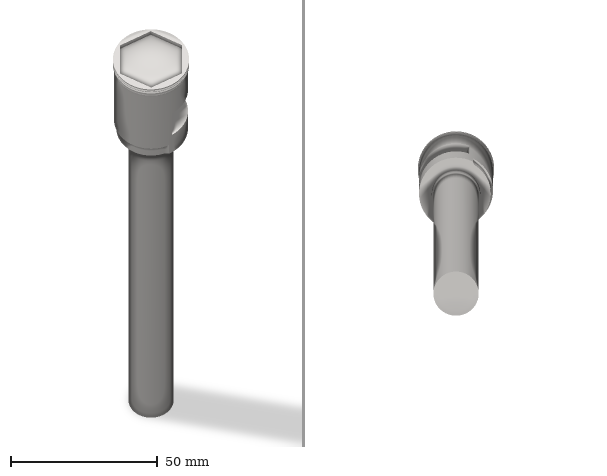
import cadquery as cq
import math

total_height = 188.5
rim_bottom = 185.7
neck_bottom = 185.1
head_top = 184.5
slot_top = 172.0
slot_bottom = 160.0
relief_top = 155.1
head_bottom = 150.5
collar_bottom = 147.0

rim_radius = 13.0
head_radius = 12.6
neck_radius = 12.5
collar_radius = 8.3
shaft_radius = 7.7

hex_across_flats = 21.1
hex_depth = 1.9

groove_count = 2
groove_depth = 0.28
groove_width = 0.8

slot_floor_y = 1.0
relief_radius = 11.9
relief_fillet = 2.0


def disc(radius, bottom, top):
    """Cylinder on the Z axis between two levels."""
    return cq.Workplane("XY").workplane(offset=bottom).circle(radius).extrude(top - bottom)


def turned_body():
    """Shaft, collar, head, shoulder, neck and rim stacked on one axis."""
    body = disc(shaft_radius, 0, collar_bottom)
    body = body.union(disc(collar_radius, collar_bottom, head_bottom))
    body = body.union(disc(head_radius, head_bottom, head_top))
    shoulder = cq.Solid.makeCone(
        head_radius, neck_radius, neck_bottom - head_top, pnt=cq.Vector(0, 0, head_top)
    )
    body = body.union(cq.Workplane(obj=shoulder))
    body = body.union(disc(neck_radius, neck_bottom, rim_bottom))
    return body.union(disc(rim_radius, rim_bottom, total_height))


def rim_groove(middle):
    """V-shaped ring centred on one level of the rim."""
    half_width = groove_width / 2
    return (
        cq.Workplane("XZ")
        .moveTo(rim_radius, middle - half_width)
        .lineTo(rim_radius - groove_depth, middle)
        .lineTo(rim_radius, middle + half_width)
        .close()
        .revolve(360, (0, 0, 0), (0, 1, 0))
    )


def hex_recess():
    """Hexagon with two corners on the Y axis, open at the top."""
    corner_diameter = hex_across_flats / math.cos(math.pi / 6)
    return (
        cq.Workplane("XY")
        .workplane(offset=total_height - hex_depth)
        .transformed(rotate=(0, 0, 90))
        .polygon(6, corner_diameter)
        .extrude(hex_depth)
    )


def side_slot():
    """Slot through the whole width, open on the +Y side."""
    length = 2 * rim_radius
    slot = cq.Workplane("XY").box(length, length, slot_top - slot_bottom, centered=(True, False, False))
    return slot.translate((0, slot_floor_y, slot_bottom))


def relief():
    """Thinned lower half of the head on the -Y side, with a concave blend at each end."""
    blend_y = -relief_fillet
    blend_x = math.sqrt((relief_radius + relief_fillet) ** 2 - relief_fillet**2)
    tangent_ratio = relief_radius / (relief_radius + relief_fillet)
    tangent_x = blend_x * tangent_ratio
    tangent_y = blend_y * tangent_ratio
    half_angle = (math.pi / 2 + math.atan2(tangent_y - blend_y, tangent_x - blend_x)) / 2
    middle_x = blend_x + relief_fillet * math.cos(half_angle)
    middle_y = blend_y + relief_fillet * math.sin(half_angle)
    outer_y = -2 * rim_radius
    return (
        cq.Workplane("XY")
        .workplane(offset=head_bottom)
        .moveTo(-blend_x, 0)
        .threePointArc((-middle_x, middle_y), (-tangent_x, tangent_y))
        .threePointArc((0, -relief_radius), (tangent_x, tangent_y))
        .threePointArc((middle_x, middle_y), (blend_x, 0))
        .lineTo(blend_x, outer_y)
        .lineTo(-blend_x, outer_y)
        .close()
        .extrude(relief_top - head_bottom)
    )


result = turned_body().cut(hex_recess()).cut(side_slot()).cut(relief())
groove_pitch = (total_height - rim_bottom) / (groove_count + 1)
for index in range(groove_count):
    result = result.cut(rim_groove(rim_bottom + (index + 1) * groove_pitch))